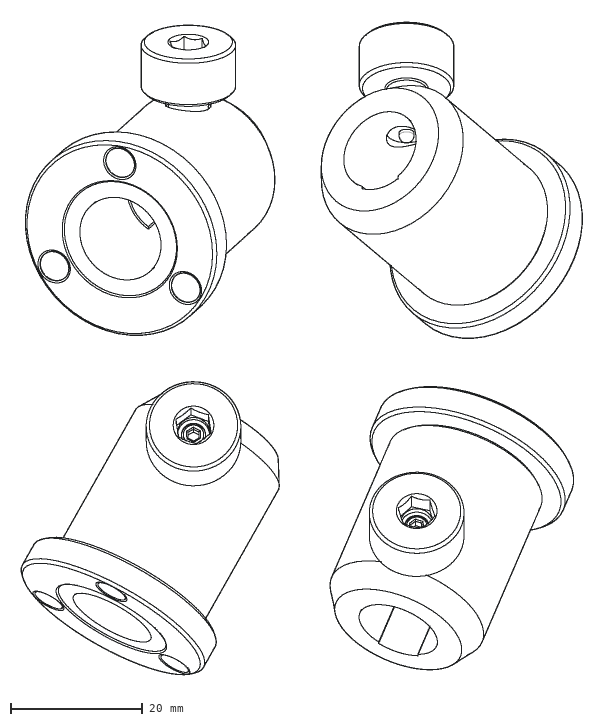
import cadquery as cq
import math


HOUSING_LENGTH = 34.7
HOUSING_RADIUS = 12.5
SHOULDER_CHAMFER = 0.5
TAPER_LENGTH = 3.75
TAPER_ANGLE = 30
SPIGOT_RADIUS = 9.3
SPIGOT_RECESS = 0.25

CLAMP_BORE_RADIUS = 6.37
WIDE_BORE_RADIUS = 6.73
RELIEF_WIDTH = 6.35

FLANGE_DIAMETER = 31.75
FLANGE_RADIUS = FLANGE_DIAMETER / 2
FLANGE_THICKNESS = 4.76
FLANGE_CHAMFER = 0.5
FLANGE_BORE_CHAMFER = SPIGOT_RECESS

MAGNET_COUNT = 3
MAGNET_CIRCLE_RADIUS = 12.56
MAGNET_RADIUS = 2.38
MAGNET_LENGTH = 3.0
MAGNET_RECESS = 0.1
MAGNET_HOLE_CHAMFER = 0.3
MAGNET_HOLE_DEPTH = MAGNET_RECESS + MAGNET_LENGTH

SCREW_Y = 26.6
CLAMP_BORE_START = SCREW_Y - (HOUSING_LENGTH - SCREW_Y)
HEAD_RADIUS = 7.22
HEAD_HEIGHT = 7.82
HEAD_CHAMFER = 0.5
OVERALL_HEIGHT = 38.25
HEAD_TOP = OVERALL_HEIGHT - FLANGE_RADIUS
HEAD_BOTTOM = HEAD_TOP - HEAD_HEIGHT
STUD_RADIUS = 3.05
STUD_END = 6.8
NECK_FLARE = 0.25
HOLE_MOUTH_RADIUS = 3.48
HOLE_MOUTH_DEPTH = 1.0

SOCKET_SIZE = 5.0
SOCKET_DEPTH = 3.35
SOCKET_TURN = 6.3
SOCKET_MOUTH_RADIUS = 3.1
SOCKET_MOUTH_ANGLE = 45
SOCKET_FLOOR = HEAD_TOP - SOCKET_DEPTH
PILOT_RADIUS = 2.43
PILOT_DEPTH = 1.0

SET_SCREW_RADIUS = 1.83
SET_SCREW_LENGTH = 4.0
SET_SCREW_CHAMFER = 0.28
SET_SCREW_SOCKET_SIZE = 1.65
SET_SCREW_SOCKET_CHAMFER = 0.22
SET_SCREW_SOCKET_DEPTH = 1.5
SET_SCREW_TOP = SOCKET_FLOOR - PILOT_DEPTH
SET_SCREW_BOTTOM = SET_SCREW_TOP - SET_SCREW_LENGTH
PLUNGER_RADIUS = 1.14
PLUNGER_TIP = 5.2


def cylinder_along_y(radius, start, end, x=0, z=0):
    """Cylinder parallel to the post axis, from y = start to y = end."""
    plane = cq.Workplane("XZ", origin=(x, start, z))
    return plane.circle(radius).extrude(start - end)


def cylinder_along_z(radius, bottom, top):
    """Cylinder on the clamping screw axis, from z = bottom to z = top."""
    return cq.Workplane("XY", origin=(0, SCREW_Y, bottom)).circle(radius).extrude(top - bottom)


def hexagon_along_z(size, bottom, top):
    """Hexagonal prism on the screw axis, with two flats facing along Y."""
    plane = cq.Workplane("XY", origin=(0, SCREW_Y, bottom))
    return plane.polygon(6, size / math.cos(math.pi / 6)).extrude(top - bottom)


def make_housing():
    taper_drop = TAPER_LENGTH * math.tan(math.radians(TAPER_ANGLE))
    profile = [
        (0, SPIGOT_RECESS),
        (SPIGOT_RADIUS, SPIGOT_RECESS),
        (SPIGOT_RADIUS, FLANGE_THICKNESS),
        (HOUSING_RADIUS - SHOULDER_CHAMFER, FLANGE_THICKNESS),
        (HOUSING_RADIUS, FLANGE_THICKNESS + SHOULDER_CHAMFER),
        (HOUSING_RADIUS, HOUSING_LENGTH - TAPER_LENGTH),
        (HOUSING_RADIUS - taper_drop, HOUSING_LENGTH),
        (0, HOUSING_LENGTH),
    ]
    sleeve = cq.Workplane("XY").polyline(profile).close().revolve(360, (0, 0), (0, 1))

    wide_bore = cylinder_along_y(WIDE_BORE_RADIUS, 0, CLAMP_BORE_START)
    clamp_bore = cylinder_along_y(CLAMP_BORE_RADIUS, 0, HOUSING_LENGTH)

    channel = cq.Workplane("XY").box(
        RELIEF_WIDTH, HOUSING_LENGTH, WIDE_BORE_RADIUS, centered=(True, False, False)
    )
    channel = channel.translate((0, 0, -WIDE_BORE_RADIUS))
    relief = channel.intersect(cylinder_along_y(WIDE_BORE_RADIUS, 0, HOUSING_LENGTH))
    screw_hole = cylinder_along_z(STUD_RADIUS, 0, HOUSING_RADIUS)
    hole_mouth = cylinder_along_z(HOLE_MOUTH_RADIUS, HOUSING_RADIUS - HOLE_MOUTH_DEPTH, HOUSING_RADIUS)
    sleeve = sleeve.cut(clamp_bore).cut(wide_bore).cut(relief)
    return sleeve.cut(screw_hole).cut(hole_mouth)


def magnet_places():
    """X and Z of each magnet, with the first one at the top of the flange."""
    places = []
    for index in range(MAGNET_COUNT):
        angle = math.pi / 2 + index * 2 * math.pi / MAGNET_COUNT
        places.append((MAGNET_CIRCLE_RADIUS * math.cos(angle), MAGNET_CIRCLE_RADIUS * math.sin(angle)))
    return places


def make_flange():
    disc = cylinder_along_y(FLANGE_RADIUS, 0, FLANGE_THICKNESS).edges().chamfer(FLANGE_CHAMFER)
    spigot_hole = cylinder_along_y(SPIGOT_RADIUS, 0, FLANGE_THICKNESS)
    disc = disc.cut(spigot_hole).faces("<Y").edges(cq.selectors.RadiusNthSelector(0))
    disc = disc.chamfer(FLANGE_BORE_CHAMFER)
    for x, z in magnet_places():
        hole = cylinder_along_y(MAGNET_RADIUS, 0, MAGNET_HOLE_DEPTH, x, z)
        mouth_cone = cq.Solid.makeCone(
            MAGNET_RADIUS + MAGNET_HOLE_CHAMFER,
            MAGNET_RADIUS,
            MAGNET_HOLE_CHAMFER,
            pnt=cq.Vector(x, 0, z),
            dir=cq.Vector(0, 1, 0),
        )
        disc = disc.cut(hole).cut(cq.Workplane(mouth_cone))
    return disc


def make_magnet(x, z):
    return cylinder_along_y(MAGNET_RADIUS, MAGNET_RECESS, MAGNET_HOLE_DEPTH, x, z)


def make_clamping_screw():
    head = cylinder_along_z(HEAD_RADIUS, HEAD_BOTTOM, HEAD_TOP).edges().chamfer(HEAD_CHAMFER)
    stud = cylinder_along_z(STUD_RADIUS, STUD_END, HEAD_BOTTOM)
    flare = cq.Solid.makeCone(
        STUD_RADIUS,
        STUD_RADIUS + NECK_FLARE,
        NECK_FLARE,
        pnt=cq.Vector(0, SCREW_Y, HEAD_BOTTOM - NECK_FLARE),
        dir=cq.Vector(0, 0, 1),
    )
    screw = head.union(stud).union(cq.Workplane(flare))

    mouth_depth = SOCKET_MOUTH_RADIUS * math.tan(math.radians(SOCKET_MOUTH_ANGLE))
    mouth_cone = cq.Solid.makeCone(
        SOCKET_MOUTH_RADIUS,
        0,
        mouth_depth,
        pnt=cq.Vector(0, SCREW_Y, HEAD_TOP),
        dir=cq.Vector(0, 0, -1),
    )
    socket = hexagon_along_z(SOCKET_SIZE, SOCKET_FLOOR, HEAD_TOP)
    socket = socket.rotate((0, SCREW_Y, 0), (0, SCREW_Y, 1), SOCKET_TURN)
    screw = screw.cut(socket).cut(cq.Workplane(mouth_cone))
    screw = screw.cut(cylinder_along_z(PILOT_RADIUS, SET_SCREW_TOP, SOCKET_FLOOR))
    screw = screw.cut(cylinder_along_z(SET_SCREW_RADIUS, SET_SCREW_BOTTOM, SET_SCREW_TOP))
    return screw.cut(cylinder_along_z(PLUNGER_RADIUS, STUD_END, SET_SCREW_BOTTOM))


def make_set_screw():
    body = cylinder_along_z(SET_SCREW_RADIUS, SET_SCREW_BOTTOM, SET_SCREW_TOP)
    body = body.faces(">Z").edges().chamfer(SET_SCREW_CHAMFER)
    socket_floor = SET_SCREW_TOP - SET_SCREW_SOCKET_DEPTH
    body = body.cut(hexagon_along_z(SET_SCREW_SOCKET_SIZE, socket_floor, SET_SCREW_TOP))
    return body.faces(">Z").edges("%LINE").chamfer(SET_SCREW_SOCKET_CHAMFER)


def make_plunger():
    nose_center = PLUNGER_TIP + PLUNGER_RADIUS
    shank = cylinder_along_z(PLUNGER_RADIUS, nose_center, SET_SCREW_BOTTOM)
    nose = cq.Workplane("XY", origin=(0, SCREW_Y, nose_center)).sphere(PLUNGER_RADIUS)
    return shank.union(nose)


housing = make_housing()
flange = make_flange()
magnets = [make_magnet(x, z).val() for x, z in magnet_places()]
clamping_screw = make_clamping_screw()
set_screw = make_set_screw()
plunger = make_plunger()

result = cq.Compound.makeCompound(
    [housing.val(), flange.val(), *magnets, clamping_screw.val(), set_screw.val(), plunger.val()]
)